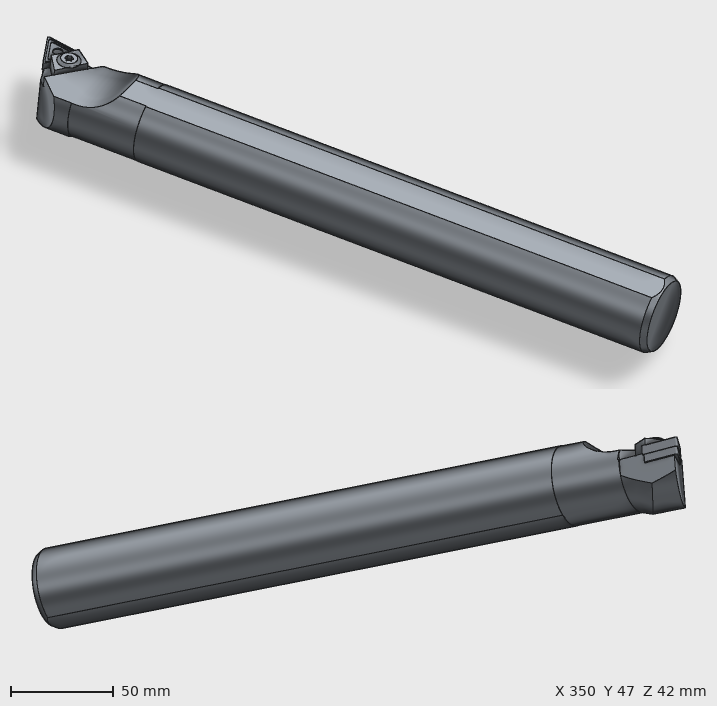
import cadquery as cq
import math

TOTAL_LENGTH = 350.0
TIP_Y = 27.0

SHANK_RADIUS = 40.0 / 2
NECK_RADIUS = 39.5 / 2
FLAT_HEIGHT = 37.5 / 2
SHANK_START = 70.5
END_CHAMFER_LENGTH = 3.0
END_CHAMFER_DEPTH = 1.7

HEAD_UPPER_RADIUS = 39.2 / 2
HEAD_RADIUS = 46.5 / 2
HEAD_CENTRE_Y = HEAD_RADIUS - HEAD_UPPER_RADIUS
HEAD_END = 34.3
HEAD_TAPER_ANGLE = 19.0

ROLL_ANGLE = 10.0
CLEARANCE = 42.0
OVERRUN = 3.5

CHIP_FACE_ROLL = 13.0
CHIP_FACE_HEIGHT = 8.0
CHIP_SWEEP_START = 36.5
CHIP_SWEEP_RADIUS = 26.2

INSERT_INRADIUS = 6.3
NOSE_RADIUS = 0.8
INSERT_TOP = 5.5
INSERT_THICKNESS = 4.5
INSERT_BOTTOM = INSERT_TOP - INSERT_THICKNESS
INSERT_AXIS_ANGLE = -40.0
PIN_RADIUS = 2.55
PIN_RECESS = 0.7
PIN_TOP = INSERT_TOP - PIN_RECESS
CHIP_GROOVE_MARGIN = 0.87
CHIP_GROOVE_WIDTH = 1.22
CHIP_GROOVE_DEPTH = 0.5

SHIM_THICKNESS = 4.0
SHIM_INSET = 0.5
SEAT_FLOOR = INSERT_BOTTOM - SHIM_THICKNESS

POCKET_FLOOR = 2.0
WALL_DISTANCE = 19.0
CLAMP_LEFT_SIDE = 8.0
CLAMP_FRONT_RIGHT = 6.5
CLAMP_REAR_RIGHT = 9.8
CLAMP_END = 17.5
CLAMP_TOP = 9.8
SCREW_DISTANCE = 12.5
SCREW_RADIUS = 6.0
SCREW_TOP_RADIUS = 4.2
SCREW_TOP = 11.2
SOCKET_SIZE = 4.2
SOCKET_DEPTH = 2.8

END_FACE_INNER = (10.0, -1.7)
END_FACE_ANGLE = 16.0
BEVEL_START = (12.5, -4.5)
BEVEL_ANGLE = 47.0
RELIEF_POINT = (32.2, 19.2)
RELIEF_ANGLE = 9.5

ROLL = math.radians(ROLL_ANGLE)
AXIS = math.radians(INSERT_AXIS_ANGLE)
NOSE_X = NOSE_RADIUS
NOSE_Y = (TIP_Y - INSERT_TOP * math.sin(ROLL)) / math.cos(ROLL) - NOSE_RADIUS
NOSE_TO_CENTRE = 2 * (INSERT_INRADIUS - NOSE_RADIUS)
INSERT_X = NOSE_X + NOSE_TO_CENTRE * math.cos(AXIS)
INSERT_Y = NOSE_Y + NOSE_TO_CENTRE * math.sin(AXIS)


def rolled(shape, angle=ROLL_ANGLE):
    """Turn a shape from a frame rolled by the angle into the bar frame."""
    return shape.rotate((0, 0, 0), (1, 0, 0), -angle)


def insert_plane(height):
    """Plane at the insert centre; its x direction runs from the cutting tip to the wall."""
    return cq.Workplane(
        cq.Plane((INSERT_X, INSERT_Y, height), (math.cos(AXIS), math.sin(AXIS), 0), (0, 0, 1))
    )


def triangle(inset, bottom, height):
    """Triangular prism with the insert's outline, moved inwards by the inset."""
    corner_distance = 2 * (INSERT_INRADIUS - inset)
    corners = [
        (corner_distance * math.cos(math.radians(a)), corner_distance * math.sin(math.radians(a)))
        for a in (60, 180, 300)
    ]
    prism = insert_plane(bottom).polyline(corners).close().extrude(height)
    return prism.edges("|Z").fillet(NOSE_RADIUS)


def beyond(distance, bottom):
    """Block above a height, on the tip side of a line across the insert axis."""
    span = 2 * CLEARANCE
    return (
        insert_plane(bottom).center(distance - CLEARANCE / 2, 0)
        .rect(CLEARANCE, span).extrude(CLEARANCE)
    )


def bar():
    """Shank with chamfered end, and the neck in front of it."""
    profile = [
        (0, 0),
        (0, NECK_RADIUS),
        (SHANK_START, NECK_RADIUS),
        (SHANK_START, SHANK_RADIUS),
        (TOTAL_LENGTH - END_CHAMFER_LENGTH, SHANK_RADIUS),
        (TOTAL_LENGTH, SHANK_RADIUS - END_CHAMFER_DEPTH),
        (TOTAL_LENGTH, 0),
    ]
    return cq.Workplane("XY").polyline(profile).close().revolve(360, (0, 0, 0), (1, 0, 0))


def flat_cutters():
    """Top flat along the whole bar, bottom flat along the shank only."""
    depth = SHANK_RADIUS
    top = cq.Workplane("XY").box(TOTAL_LENGTH, CLEARANCE, depth, centered=(False, True, False))
    bottom = cq.Workplane("XY").box(
        TOTAL_LENGTH - SHANK_START, CLEARANCE, depth, centered=(False, True, False)
    )
    top = top.translate((0, 0, FLAT_HEIGHT))
    return top.union(bottom.translate((SHANK_START, 0, -FLAT_HEIGHT - depth)))


def head_step():
    """Thin shell that steps the head in from the neck."""
    return cq.Workplane("YZ").circle(SHANK_RADIUS).circle(HEAD_UPPER_RADIUS).extrude(HEAD_END)


def head_swelling():
    """Lower half of a larger cylinder, run out into the neck by a cone about the bar axis."""
    cylinder = (
        cq.Workplane("YZ").center(HEAD_CENTRE_Y, 0)
        .circle(HEAD_RADIUS).extrude(HEAD_END)
    )
    cone_front_radius = NECK_RADIUS + HEAD_END * math.tan(math.radians(HEAD_TAPER_ANGLE))
    cone = (
        cq.Workplane("YZ").circle(cone_front_radius)
        .workplane(offset=HEAD_END).circle(NECK_RADIUS).loft()
    )
    upper_half = cq.Workplane("XY").box(
        HEAD_END, 2 * CLEARANCE, CLEARANCE, centered=(False, True, False)
    )
    return cylinder.intersect(cone).cut(upper_half)


def front_outline():
    """Prism that bounds the front: slanted end face, narrow facet, bevel and side relief."""
    end_slope = math.tan(math.radians(END_FACE_ANGLE))
    relief_slope = math.tan(math.radians(RELIEF_ANGLE))
    bevel_slope = math.tan(math.radians(BEVEL_ANGLE))
    inner_x, inner_y = END_FACE_INNER
    bevel_x, bevel_y = BEVEL_START
    relief_x, relief_y = RELIEF_POINT
    rise = (relief_y - inner_y + relief_slope * (relief_x - inner_x)) / (1 - relief_slope * end_slope)
    outline = [
        END_FACE_INNER,
        BEVEL_START,
        (bevel_x + CLEARANCE / bevel_slope, bevel_y - CLEARANCE),
        (TOTAL_LENGTH + OVERRUN, bevel_y - CLEARANCE),
        (TOTAL_LENGTH + OVERRUN, CLEARANCE),
        (HEAD_END, CLEARANCE),
        (HEAD_END, relief_y - relief_slope * (HEAD_END - relief_x)),
        (inner_x - rise * end_slope, inner_y + rise),
    ]
    prism = cq.Workplane("XY").polyline(outline).close().extrude(CLEARANCE, both=True)
    return rolled(prism)


def chip_face_cutter():
    """Everything above the chip face, with a round sweep at its rear."""
    middle = math.radians(45)
    sweep_top = CHIP_FACE_HEIGHT + CHIP_SWEEP_RADIUS
    cutter = (
        cq.Workplane("XZ").moveTo(-OVERRUN, CHIP_FACE_HEIGHT)
        .lineTo(CHIP_SWEEP_START, CHIP_FACE_HEIGHT)
        .threePointArc(
            (CHIP_SWEEP_START + CHIP_SWEEP_RADIUS * math.sin(middle),
             sweep_top - CHIP_SWEEP_RADIUS * math.cos(middle)),
            (CHIP_SWEEP_START + CHIP_SWEEP_RADIUS, sweep_top),
        )
        .lineTo(-OVERRUN, sweep_top).close().extrude(CLEARANCE, both=True)
    )
    return rolled(cutter, CHIP_FACE_ROLL)


def shim_and_pin():
    """Shim on the seat floor with the pin that fills the insert's hole."""
    shim = triangle(SHIM_INSET, SEAT_FLOOR, SHIM_THICKNESS)
    pin = insert_plane(SEAT_FLOOR).circle(PIN_RADIUS).extrude(PIN_TOP - SEAT_FLOOR)
    return rolled(shim.union(pin))


def clamp():
    """Wedge clamp behind the insert, with a coned screw head and hexagon socket."""
    outline = [
        (INSERT_INRADIUS, CLAMP_LEFT_SIDE),
        (INSERT_INRADIUS, -CLAMP_FRONT_RIGHT),
        (CLAMP_END, -CLAMP_REAR_RIGHT),
        (CLAMP_END, CLAMP_LEFT_SIDE),
    ]
    block = insert_plane(POCKET_FLOOR).polyline(outline).close().extrude(CLAMP_TOP - POCKET_FLOOR)
    screw = (
        insert_plane(CLAMP_TOP).center(SCREW_DISTANCE, 0).circle(SCREW_RADIUS)
        .workplane(offset=SCREW_TOP - CLAMP_TOP).circle(SCREW_TOP_RADIUS).loft()
    )
    socket = (
        insert_plane(SCREW_TOP).center(SCREW_DISTANCE, 0)
        .polygon(6, SOCKET_SIZE).extrude(-SOCKET_DEPTH)
    )
    return rolled(block.union(screw).cut(socket))


def make_holder():
    """Bar with its shaped head, shim, pin and clamp."""
    pocket = beyond(WALL_DISTANCE, POCKET_FLOOR).union(beyond(INSERT_INRADIUS, SEAT_FLOOR))
    body = bar().cut(head_step()).union(head_swelling()).cut(flat_cutters())
    body = body.intersect(front_outline())
    body = body.cut(chip_face_cutter()).cut(rolled(pocket))
    return body.union(shim_and_pin()).union(clamp())


def make_insert():
    """Triangular cutting insert with a chip groove and a hole for the pin."""
    plate = triangle(0, INSERT_BOTTOM, INSERT_THICKNESS)
    hole = insert_plane(INSERT_BOTTOM).circle(PIN_RADIUS).extrude(INSERT_THICKNESS)
    groove_bottom = INSERT_TOP - CHIP_GROOVE_DEPTH
    groove = triangle(CHIP_GROOVE_MARGIN, groove_bottom, CHIP_GROOVE_DEPTH)
    island = triangle(CHIP_GROOVE_MARGIN + CHIP_GROOVE_WIDTH, groove_bottom, CHIP_GROOVE_DEPTH)
    return rolled(plate.cut(groove.cut(island)).cut(hole))


holder = make_holder()
insert = make_insert()
result = cq.Compound.makeCompound([holder.val(), insert.val()])